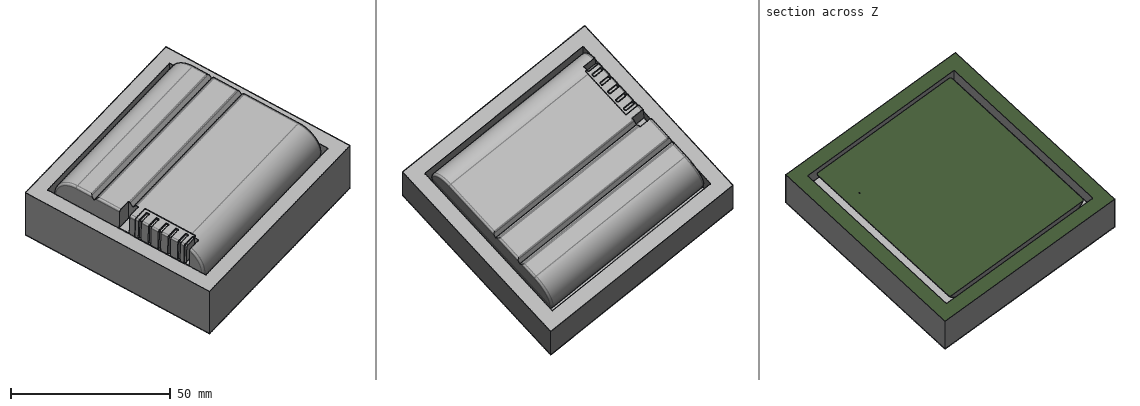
import cadquery as cq
import math

tray_width = 71.3
tray_length = 75.65
tray_height = 20.0
wall = 5.0
tray_floor = 9.8

pack_width = 57.95
pack_length = 63.7
pack_height = 16.95
pack_radius = pack_height / 2
end_fillet = 0.75
end_lean = 0.3
pack_middle = tray_floor + pack_radius
pack_top = tray_floor + pack_height
front_y = -pack_length / 2

groove_centers = (-13.55, -1.9)
groove_half_width = 1.2
groove_wall_angle = math.radians(52)
groove_lip_radius = 0.5

notch_floor = 18.85
notch_back = -26.85
left_notch = (-3.6, 0.2)
right_notch = (21.9, 23.45)
recess_left = 2.35
recess_back = -26.2
recess_depth = 0.2
recess_fillet = end_fillet - recess_depth
step_left = 21.2
step_depth = 0.7
slot_count = 5
slot_pitch = 3.8
slot_width = 1.05
first_slot_center = 4.1
slot_back = -27.1
slot_depth = 0.9


def make_tray():
    tray = cq.Workplane("XY").box(tray_width, tray_length, tray_height, centered=(True, True, False))
    cavity = (
        cq.Workplane("XY", origin=(0, 0, tray_floor))
        .rect(tray_width - 2 * wall, tray_length - 2 * wall)
        .extrude(tray_height)
    )
    return tray.cut(cavity)


def upper_pack():
    """Upper half of the pack, with ends that lean inward towards the top."""
    half_flat = pack_width / 2 - pack_radius
    half_length = pack_length / 2
    half_top = half_length - end_lean
    body = (
        cq.Workplane("XZ", origin=(0, half_length, pack_middle))
        .moveTo(-pack_width / 2, 0)
        .radiusArc((-half_flat, pack_radius), pack_radius)
        .lineTo(half_flat, pack_radius)
        .radiusArc((pack_width / 2, 0), pack_radius)
        .close()
        .extrude(pack_length)
    )
    leaning_ends = (
        cq.Workplane("YZ", origin=(-pack_width / 2, 0, pack_middle))
        .polyline([(-half_length, 0), (-half_top, pack_radius), (half_top, pack_radius), (half_length, 0)])
        .close()
        .extrude(pack_width)
    )
    return body.intersect(leaning_ends).faces("<Y or >Y").edges("not <Z").fillet(end_fillet)


def front_block(x_range, y_back, floor_z):
    """Block at the front end of the pack, reaching from floor_z to the top of the pack."""
    x_left, x_right = x_range
    return cq.Workplane("XY", origin=(x_left, front_y, floor_z)).box(
        x_right - x_left, y_back - front_y, pack_top - floor_z, centered=False
    )


def lower_surface(pack, x_range, y_back, depth, edge_fillet=0.0):
    """Set the top and front of the pack back by depth inside one block, leaving a flat top."""
    x_left, x_right = x_range
    bottom_y = front_y + depth
    top_y = bottom_y + end_lean
    top_z = pack_radius - depth
    kept = (
        cq.Workplane("YZ", origin=(x_left, 0, pack_middle))
        .polyline([(bottom_y, 0), (top_y, top_z), (y_back, top_z), (y_back, 0)])
        .close()
        .extrude(x_right - x_left)
    )
    if edge_fillet > 0:
        kept = kept.faces(">Z").edges("<Y").fillet(edge_fillet)
    return pack.cut(front_block(x_range, y_back, pack_middle).cut(kept))


def groove_cutter(center_x):
    """V channel whose upper edges are rounded over by tangent arcs."""
    lip_reach = groove_lip_radius * math.tan(groove_wall_angle / 2)
    groove_depth = groove_half_width * math.tan(groove_wall_angle)
    lip_outer = groove_half_width + lip_reach
    lip_inner = groove_half_width - lip_reach * math.cos(groove_wall_angle)
    lip_drop = lip_reach * math.sin(groove_wall_angle)
    mid_x = lip_outer - groove_lip_radius * math.sin(groove_wall_angle / 2)
    mid_drop = groove_lip_radius * (1 - math.cos(groove_wall_angle / 2))
    return (
        cq.Workplane("XZ", origin=(center_x, pack_length / 2, pack_top))
        .moveTo(-lip_outer, 0)
        .threePointArc((-mid_x, -mid_drop), (-lip_inner, -lip_drop))
        .lineTo(0, -groove_depth)
        .lineTo(lip_inner, -lip_drop)
        .threePointArc((mid_x, -mid_drop), (lip_outer, 0))
        .close()
        .extrude(pack_length)
    )


pack = upper_pack()
for center_x in groove_centers:
    pack = pack.cut(groove_cutter(center_x))

pack = lower_surface(pack, (recess_left, right_notch[0]), recess_back, recess_depth, recess_fillet)
pack = lower_surface(pack, (step_left, right_notch[0]), notch_back, step_depth, end_fillet)

for index in range(slot_count):
    slot_left = first_slot_center + index * slot_pitch - slot_width / 2
    slot_range = (slot_left, slot_left + slot_width)
    pack = lower_surface(pack, slot_range, slot_back, slot_depth)

for notch_range in (left_notch, right_notch):
    pack = pack.cut(front_block(notch_range, notch_back, notch_floor))

lower_pack = upper_pack().mirror("XY", (0, 0, pack_middle))
result = make_tray().union(lower_pack).union(pack)